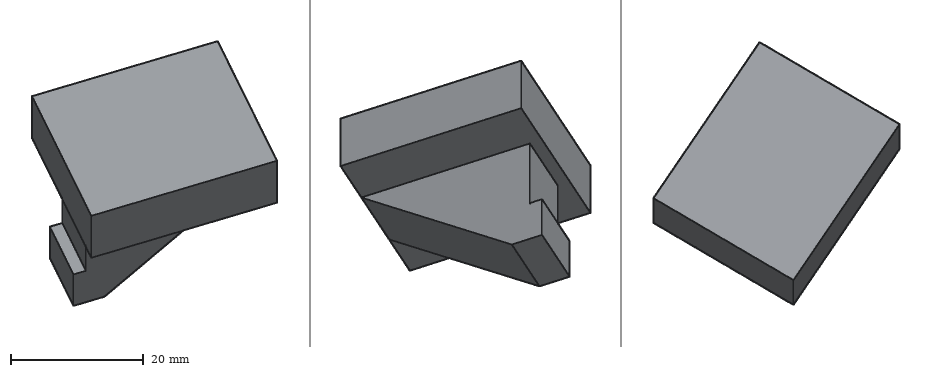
import cadquery as cq

length = 30.0
height = 30.0
plate_width = 25.0
plate_thickness = 10.0
rib_width = 10.0
foot_height = 7.5
foot_length = 5.0
notch_depth = 2.0

plate_bottom = height - plate_thickness


def make_plate():
    """Rectangular block on top, centred on X = 0."""
    return cq.Workplane("XY").box(
        plate_width, length, plate_thickness, centered=(True, False, False)
    ).translate((0, 0, plate_bottom))


def make_rib():
    """Sloped rib under the plate, with a foot that projects to the front face."""
    profile = [
        (0, 0),
        (foot_length, 0),
        (length, plate_bottom),
        (notch_depth, plate_bottom),
        (notch_depth, foot_height),
        (0, foot_height),
    ]
    return cq.Workplane("YZ").polyline(profile).close().extrude(rib_width / 2, both=True)


result = make_plate().union(make_rib())